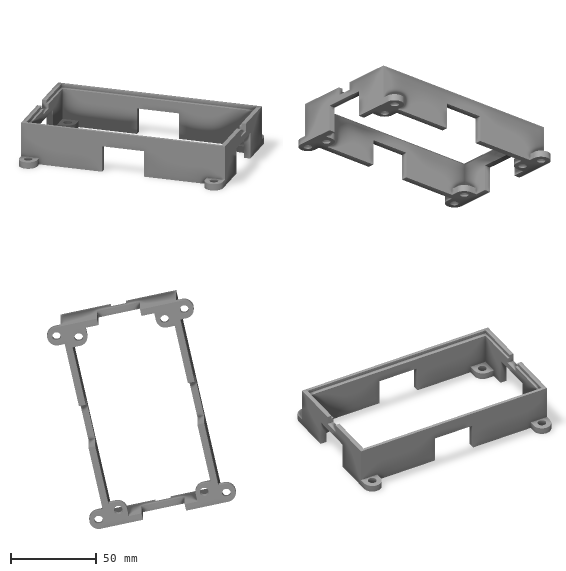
import cadquery as cq

length = 126.0
overall_width = 88.0
height = 25.0
wall = 4.0
tab_reach = 9.2
width = overall_width - 2 * tab_reach

end_lip = 2.6
side_lip = 1.8
recess_depth = 2.0

window_width = 26.0
window_height = 16.0
notch_width = 9.2
notch_depth = 5.0

tab_thickness = 4.0
hole_diameter = 5.0
outer_tab_width = 11.1
inner_tab_reach = 14.1
inner_hole_inset = 9.0
inner_tab_radius = 5.5


def block(size_x, size_y, bottom, top):
    """Box centred on the Z axis, between two heights."""
    box = cq.Workplane("XY").box(size_x, size_y, top - bottom, centered=(True, True, False))
    return box.translate((0, 0, bottom))


def in_all_corners(corner):
    """Mirror a feature at the +X +Y corner into all four corners."""
    pair = corner.union(corner.mirror("YZ"))
    return pair.union(pair.mirror("XZ"))


def make_frame():
    frame = block(length, width, 0, height)
    frame = frame.cut(block(length - 2 * wall, width - 2 * wall, 0, height))
    recess = block(length - 2 * end_lip, width - 2 * side_lip, height - recess_depth, height)
    return frame.cut(recess)


def make_openings():
    side_windows = block(window_width, width, 0, window_height)
    end_windows = block(length, window_width, 0, window_height)
    end_notches = block(length, notch_width, height - notch_depth, height)
    return side_windows.union(end_windows).union(end_notches)


def drill(tab, x, y):
    hole = cq.Workplane("XY").center(x, y).circle(hole_diameter / 2).extrude(tab_thickness)
    return tab.cut(hole)


def make_outer_tab():
    """Tab with a round end, flush with the end wall, reaching out past the side wall."""
    radius = outer_tab_width / 2
    right = length / 2
    hole_x = right - radius
    hole_y = overall_width / 2 - radius
    root_y = width / 2 - wall
    tab = (
        cq.Workplane("XY")
        .moveTo(right, root_y)
        .lineTo(right, hole_y)
        .threePointArc((hole_x, overall_width / 2), (right - outer_tab_width, hole_y))
        .lineTo(right - outer_tab_width, root_y)
        .close()
        .extrude(tab_thickness)
    )
    return drill(tab, hole_x, hole_y)


def make_inner_tab():
    """Square tab filling the inside corner, its free corner rounded."""
    tab = (
        cq.Workplane("XY")
        .rect(inner_tab_reach, inner_tab_reach)
        .extrude(tab_thickness)
        .edges("|Z and <X and <Y")
        .fillet(inner_tab_radius)
        .translate(((length - inner_tab_reach) / 2, (width - inner_tab_reach) / 2, 0))
    )
    return drill(tab, length / 2 - inner_hole_inset, width / 2 - inner_hole_inset)


result = (
    make_frame()
    .cut(make_openings())
    .union(in_all_corners(make_outer_tab()))
    .union(in_all_corners(make_inner_tab()))
)